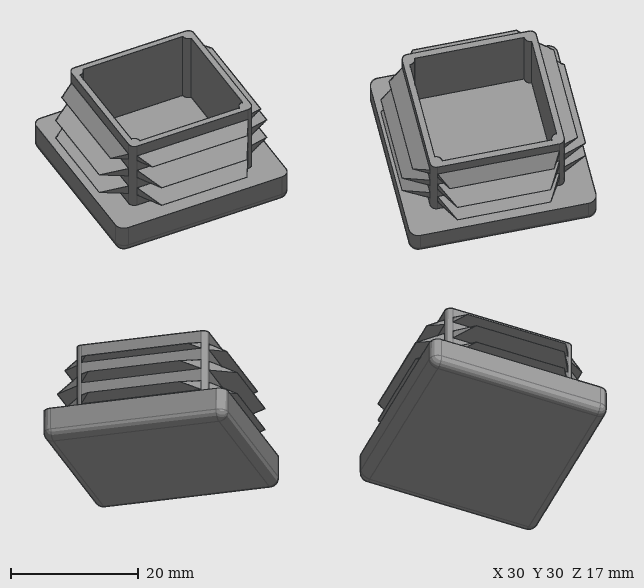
import cadquery as cq
import math

base_side = 30.0
base_height = 5.0
base_corner_radius = 1.5
base_bottom_radius = 1.47

sleeve_side = 21.5
sleeve_height = 12.0
wall = 1.0
sleeve_corner_radius = wall
cavity_side = sleeve_side - 2 * wall

barb_side_angle = 30.0
barb_root_width = sleeve_side - 2 * sleeve_corner_radius
large_barb_reach = 3.95
large_barb_height = 1.5
small_barb_reach = 2.45
small_barb_height = 1.0
barb_sizes = [
    (7.02, large_barb_reach, large_barb_height),
    (10.6, large_barb_reach, large_barb_height),
    (14.05, small_barb_reach, small_barb_height),
]


def make_base():
    plate = cq.Workplane("XY").rect(base_side, base_side).extrude(base_height)
    plate = plate.edges("|Z").fillet(base_corner_radius)
    return plate.faces("<Z").edges().fillet(base_bottom_radius)


def make_sleeve():
    floor = cq.Workplane("XY").workplane(offset=base_height)
    outside = floor.rect(sleeve_side, sleeve_side).extrude(sleeve_height)
    outside = outside.edges("|Z").fillet(sleeve_corner_radius)
    cavity = floor.rect(cavity_side, cavity_side).extrude(sleeve_height)
    posts = (
        floor.rect(cavity_side, cavity_side, forConstruction=True)
        .vertices()
        .circle(wall)
        .extrude(sleeve_height)
    )
    return outside.cut(cavity.cut(posts))


def make_barb(underside, reach, height):
    """One barb on the +X wall; its root is sunk into the wall."""
    root = sleeve_side / 2
    buried = root - wall / 2
    tip = root + reach
    half_root = barb_root_width / 2
    half_tip = half_root - reach * math.tan(math.radians(barb_side_angle))

    wedge = (
        cq.Workplane("XZ")
        .polyline([
            (buried, underside),
            (tip, underside),
            (root, underside + height),
            (buried, underside + height),
        ])
        .close()
        .extrude(half_root, both=True)
    )
    plan = (
        cq.Workplane("XY")
        .workplane(offset=underside)
        .polyline([
            (buried, -half_root),
            (root, -half_root),
            (tip, -half_tip),
            (tip, half_tip),
            (root, half_root),
            (buried, half_root),
        ])
        .close()
        .extrude(height)
    )
    return wedge.intersect(plan)


result = make_base().union(make_sleeve())
for underside, reach, height in barb_sizes:
    barb = make_barb(underside, reach, height)
    for turn in (0, 90, 180, 270):
        result = result.union(barb.rotate((0, 0, 0), (0, 0, 1), turn))